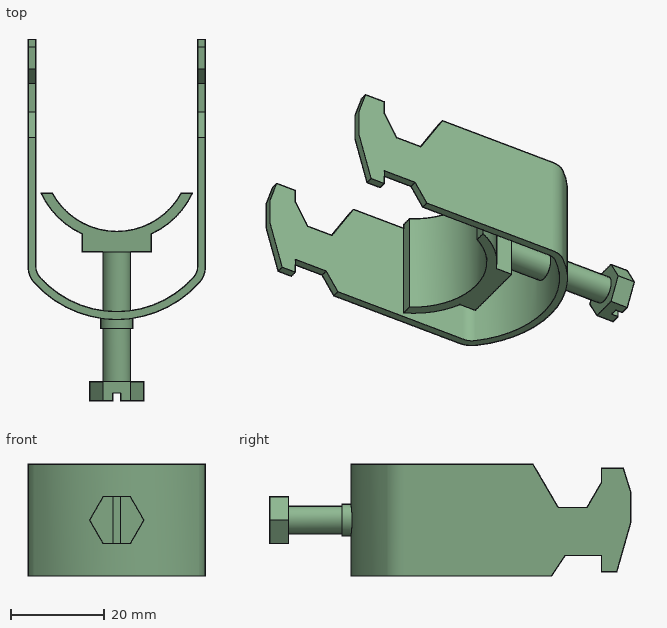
import cadquery as cq
import math

strap_width = 38.0
strap_height = 24.0
strap_length = 60.0
strap_thickness = 1.7
bow_radius = 23.8
corner_radius = 5.0

saddle_inner_radius = 15.7
saddle_thickness = 2.2
saddle_low_y = 18.9
saddle_top_y = 27.1
saddle_height = strap_height
block_width = 14.8
block_base_y = 14.5

overall_length = 77.45
bolt_diameter = 6.0
collar_diameter = 6.9
collar_length = 1.9
head_across_flats = 10.1
head_thickness = 4.1
slot_width = 1.6
slot_depth = 1.6

half_height = strap_height / 2
head_end_y = strap_length - overall_length


def bowed_prism(inset):
    """Full-height prism bounded by the strap outline moved inward by inset."""
    width = strap_width - 2 * inset
    radius = bow_radius - inset
    half_width = width / 2
    corner_y = bow_radius - math.sqrt(radius**2 - half_width**2)
    return (
        cq.Workplane("XY", origin=(0, 0, -half_height))
        .moveTo(-half_width, strap_length)
        .lineTo(-half_width, corner_y)
        .threePointArc((0, inset), (half_width, corner_y))
        .lineTo(half_width, strap_length)
        .close()
        .extrude(strap_height)
        .edges("|Z and (not >Y)")
        .fillet(corner_radius - inset)
    )


def leg_side_profile():
    """Side shape (Y, Z) of the strap, with hooks at the free ends of the legs."""
    hook_back_y = 53.7
    hook_top_z = 11.15
    hook_bottom_z = -11.1
    neck_top_z = 2.7
    neck_bottom_z = -7.6
    top_shoulder_y = 39.0
    bottom_shoulder_y = 43.0
    neck_top_start_y = 44.45
    neck_top_end_y = 50.6
    neck_bottom_start_y = 45.9
    hook_throat_z = 8.05
    hook_top_nose_y = 58.4
    hook_bottom_nose_y = 57.0
    tip_top_z = 6.0
    tip_bottom_z = -0.5
    points = [
        (0, half_height),
        (top_shoulder_y, half_height),
        (neck_top_start_y, neck_top_z),
        (neck_top_end_y, neck_top_z),
        (hook_back_y, hook_throat_z),
        (hook_back_y, hook_top_z),
        (hook_top_nose_y, hook_top_z),
        (strap_length, tip_top_z),
        (strap_length, tip_bottom_z),
        (hook_bottom_nose_y, hook_bottom_z),
        (hook_back_y, hook_bottom_z),
        (hook_back_y, neck_bottom_z),
        (neck_bottom_start_y, neck_bottom_z),
        (bottom_shoulder_y, -half_height),
        (0, -half_height),
    ]
    return cq.Workplane("YZ").polyline(points).close().extrude(strap_width / 2, both=True)


def make_strap():
    band = bowed_prism(0).cut(bowed_prism(strap_thickness))
    return band.intersect(leg_side_profile())


def make_saddle():
    center_y = saddle_low_y + saddle_inner_radius
    outer_radius = saddle_inner_radius + saddle_thickness
    plane = cq.Workplane("XY", origin=(0, 0, -saddle_height / 2))
    block_depth = center_y - block_base_y
    block = (
        plane.center(0, block_base_y + block_depth / 2)
        .rect(block_width, block_depth)
        .extrude(saddle_height)
    )
    cradle = plane.center(0, center_y).circle(outer_radius).extrude(saddle_height)
    bore = plane.center(0, center_y).circle(saddle_inner_radius).extrude(saddle_height)
    kept_depth = saddle_top_y - block_base_y
    kept_zone = (
        plane.center(0, block_base_y + kept_depth / 2)
        .rect(2 * outer_radius, kept_depth)
        .extrude(saddle_height)
    )
    return cradle.union(block).cut(bore).intersect(kept_zone)


def rod(diameter, start_y, end_y):
    """Cylinder along Y between two positions."""
    plane = cq.Plane(origin=(0, start_y, 0), xDir=(1, 0, 0), normal=(0, 1, 0))
    return cq.Workplane(plane).circle(diameter / 2).extrude(end_y - start_y)


def make_bolt():
    across_corners = head_across_flats / math.cos(math.pi / 6)
    head_plane = cq.Plane(origin=(0, head_end_y, 0), xDir=(1, 0, 0), normal=(0, 1, 0))
    head = cq.Workplane(head_plane).polygon(6, across_corners).extrude(head_thickness)
    slot = cq.Workplane(head_plane).rect(slot_width, across_corners).extrude(slot_depth)
    shank = rod(bolt_diameter, head_end_y + head_thickness, block_base_y)
    collar = rod(collar_diameter, -collar_length, strap_thickness)
    return head.cut(slot).union(shank).union(collar)


result = make_strap().union(make_saddle()).union(make_bolt())